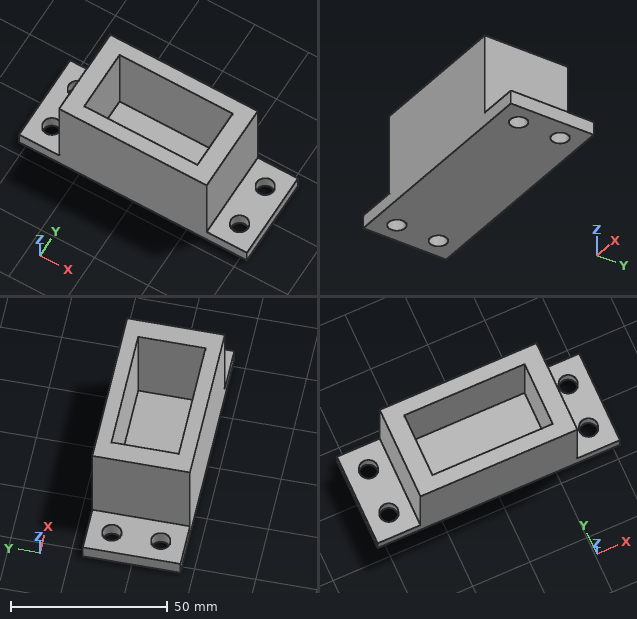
import cadquery as cq

flange_length = 85.0
part_width = 32.0
flange_thickness = 5.0

box_length = 55.0
total_height = 35.0

pocket_length = 42.2
pocket_width = 22.0
pocket_depth = total_height - flange_thickness

hole_diameter = 6.2
hole_spacing_x = (flange_length + box_length) / 2
hole_spacing_y = part_width / 2


def base_block(length, height):
    """Full-width block centred in X and Y with its bottom at Z = 0."""
    return cq.Workplane("XY").box(length, part_width, height, centered=(True, True, False))


flange = base_block(flange_length, flange_thickness)
box = base_block(box_length, total_height)

pocket = (
    cq.Workplane("XY")
    .workplane(offset=total_height)
    .rect(pocket_length, pocket_width)
    .extrude(-pocket_depth)
)

mounting_holes = (
    cq.Workplane("XY")
    .rarray(hole_spacing_x, hole_spacing_y, 2, 2)
    .circle(hole_diameter / 2)
    .extrude(flange_thickness)
)

result = flange.union(box).cut(pocket).cut(mounting_holes)